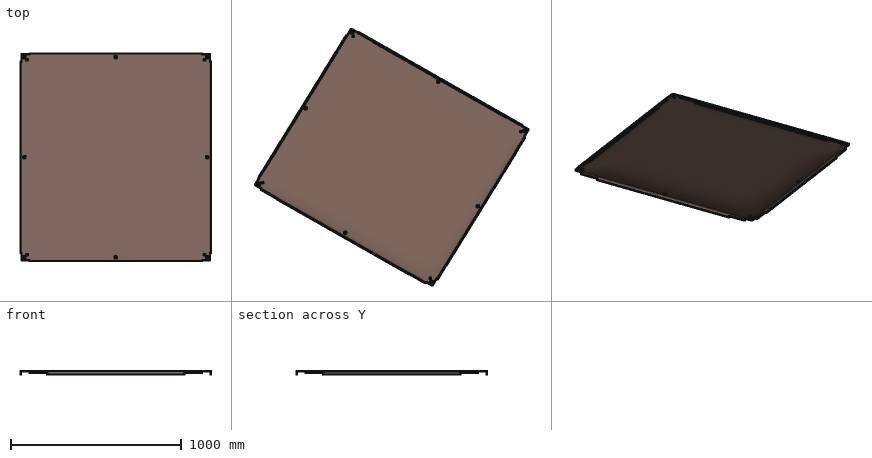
import cadquery as cq
import math

width = 1117.0
length = 1218.0
height = 22.0

thickness = 3.0
bend_radius = 5.0
inner_radius = bend_radius - thickness
corner_radius = 4.0

shallow_depth = 13.0
front_shallow = 1011.0
front_deep = 804.0
side_shallow = 1120.0
side_deep = 903.0

mount_diameter = 12.0
mount_x = 536.0
mount_y = 587.0
small_diameter = 7.2
small_x = 520.0
small_y = 571.0


def make_panel():
    """Flat sheet with rounded corners, reaching to the start of each bend."""
    flat_width = width - 2 * bend_radius
    flat_length = length - 2 * bend_radius
    sheet = cq.Workplane("XY").rect(flat_width, flat_length).extrude(-thickness)
    return sheet.edges("|Z").fillet(corner_radius)


def bent_strip(reach, run, depth):
    """Bend and downward leg on the +X side, 'reach' from the centre and 'run' long in Y."""
    bend_start = reach - bend_radius
    midway = math.sqrt(0.5)
    return (
        cq.Workplane("XZ")
        .moveTo(bend_start, 0)
        .threePointArc(
            (bend_start + bend_radius * midway, -bend_radius + bend_radius * midway),
            (reach, -bend_radius),
        )
        .lineTo(reach, -depth)
        .lineTo(reach - thickness, -depth)
        .lineTo(reach - thickness, -bend_radius)
        .threePointArc(
            (bend_start + inner_radius * midway, -bend_radius + inner_radius * midway),
            (bend_start, -thickness),
        )
        .close()
        .extrude(run / 2, both=True)
    )


def round_free_corners(strip):
    """Round the two lower corners of a strip's leg."""
    return strip.faces("<Z").edges("|X").fillet(corner_radius)


def make_flange(reach, shallow_length, deep_length):
    """Stepped flange: the shallow band joined with the deeper middle part."""
    shallow_band = bent_strip(reach, shallow_length, shallow_depth)
    deep_band = bent_strip(reach, deep_length, height)
    return round_free_corners(shallow_band).union(round_free_corners(deep_band))


def drill(body, diameter, centres):
    """Cut round holes straight through the sheet."""
    cutter = (
        cq.Workplane("XY")
        .pushPoints(centres)
        .circle(diameter / 2)
        .extrude(-thickness)
    )
    return body.cut(cutter)


result = make_panel()
side_flange = make_flange(width / 2, side_shallow, side_deep)
front_flange = make_flange(length / 2, front_shallow, front_deep)
for flange, angles in ((side_flange, (0, 180)), (front_flange, (90, 270))):
    for angle in angles:
        result = result.union(flange.rotate((0, 0, 0), (0, 0, 1), angle))

mount_centres = [
    (x, y)
    for x in (-mount_x, 0, mount_x)
    for y in (-mount_y, 0, mount_y)
    if (x, y) != (0, 0)
]
result = drill(result, mount_diameter, mount_centres)

small_centres = [(x, y) for x in (-small_x, small_x) for y in (-small_y, small_y)]
result = drill(result, small_diameter, small_centres)